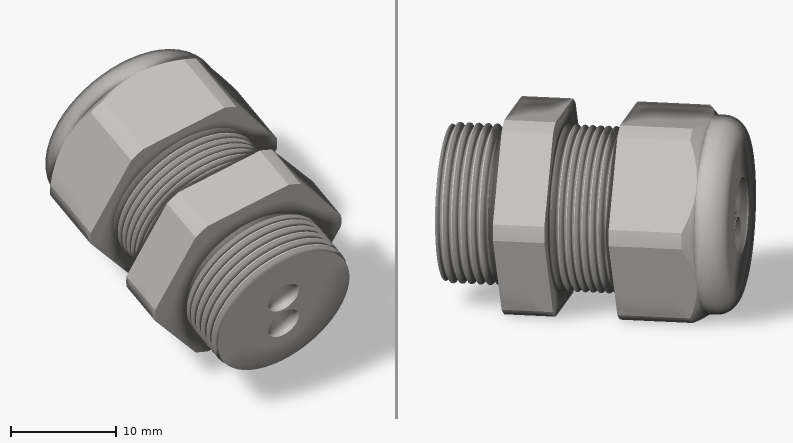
import cadquery as cq
import math


LENGTH = 28.2

ACROSS_FLATS = 19.05
CORNER_RADIUS = 10.57

CAP_END = 10.88
DOME_RADIUS = 9.5
DOME_ROUNDING = 2.0
DOME_END = 2.8
CONE_END = 3.85

COLLAR_START = 17.08
COLLAR_END = 22.05

THREAD_HALF_ANGLE = math.radians(30)
CAP_THREAD_RADIUS = 7.95
CAP_THREAD_DEPTH = 0.6
CAP_THREAD_PITCH = 0.75
CAP_THREAD_GROOVES = 8
END_THREAD_RADIUS = 7.67
END_THREAD_DEPTH = 0.68
END_THREAD_LAST_GROOVE = 27.9
END_THREAD_GROOVES = 6
END_THREAD_FIRST_GROOVE = 23.43
END_THREAD_PITCH = (END_THREAD_LAST_GROOVE - END_THREAD_FIRST_GROOVE) / (END_THREAD_GROOVES - 1)

NECK_RADIUS = 6.85
NECK_END = 22.33
RELIEF_END = 23.05
RELIEF_END_RADIUS = 7.5

INSERT_RADIUS = 4.0
RECESS_RADIUS = 3.7
RECESS_DEPTH = 0.4
PASSAGE_RADIUS = 1.75
PASSAGE_OFFSET = RECESS_RADIUS - PASSAGE_RADIUS


def cylinder(radius, start, end):
    """Round bar along X from start to end."""
    return cq.Workplane("YZ", origin=(start, 0, 0)).circle(radius).extrude(end - start)


def hexagon(start, end):
    """Hexagonal bar along X with flats facing up and down."""
    across_corners = ACROSS_FLATS / math.cos(math.pi / 6)
    return cq.Workplane("YZ", origin=(start, 0, 0)).polygon(6, across_corners).extrude(end - start)


def revolve_about_x(profile):
    """Close a half profile drawn in XY, with Y as the radius, and turn it about X."""
    return profile.close().revolve(360, (0, 0, 0), (1, 0, 0))


def make_cap():
    """Hexagon trimmed to a rounded dome, a cone and its corner cylinder."""
    rounding_diagonal = DOME_ROUNDING * math.sqrt(0.5)
    envelope = revolve_about_x(
        cq.Workplane("XY")
        .lineTo(0, DOME_RADIUS - DOME_ROUNDING)
        .threePointArc(
            (DOME_ROUNDING - rounding_diagonal, DOME_RADIUS - DOME_ROUNDING + rounding_diagonal),
            (DOME_ROUNDING, DOME_RADIUS),
        )
        .lineTo(DOME_END, DOME_RADIUS)
        .lineTo(CONE_END, CORNER_RADIUS)
        .lineTo(CAP_END, CORNER_RADIUS)
        .lineTo(CAP_END, 0)
    )
    return hexagon(0, CAP_END).intersect(envelope)


def make_collar():
    """Hexagon with its corners turned round."""
    return hexagon(COLLAR_START, COLLAR_END).intersect(cylinder(CORNER_RADIUS, COLLAR_START, COLLAR_END))


def add_grooves(profile, first_groove, pitch, count, crest_radius, depth):
    """Extend a half profile along a row of V grooves, from crest to crest."""
    half_width = depth * math.tan(THREAD_HALF_ANGLE)
    for index in range(count):
        bottom = first_groove + index * pitch
        profile = (
            profile.lineTo(bottom - half_width, crest_radius)
            .lineTo(bottom, crest_radius - depth)
            .lineTo(bottom + half_width, crest_radius)
        )
    return profile


def make_cap_thread():
    """Threaded length between the cap and the collar."""
    first_groove = CAP_END + CAP_THREAD_PITCH / 2
    profile = cq.Workplane("XY").moveTo(CAP_END, 0).lineTo(CAP_END, CAP_THREAD_RADIUS)
    profile = add_grooves(
        profile, first_groove, CAP_THREAD_PITCH, CAP_THREAD_GROOVES, CAP_THREAD_RADIUS, CAP_THREAD_DEPTH
    )
    return revolve_about_x(profile.lineTo(COLLAR_START, CAP_THREAD_RADIUS).lineTo(COLLAR_START, 0))


def make_end_thread():
    """Threaded length beyond the collar, turned down to a relief neck and cut off square."""
    profile = cq.Workplane("XY").moveTo(COLLAR_END, 0).lineTo(COLLAR_END, END_THREAD_RADIUS)
    profile = add_grooves(
        profile,
        END_THREAD_FIRST_GROOVE,
        END_THREAD_PITCH,
        END_THREAD_GROOVES,
        END_THREAD_RADIUS,
        END_THREAD_DEPTH,
    )
    last_crest = END_THREAD_LAST_GROOVE + END_THREAD_DEPTH * math.tan(THREAD_HALF_ANGLE)
    threaded_bar = revolve_about_x(profile.lineTo(last_crest, 0))
    envelope = revolve_about_x(
        cq.Workplane("XY")
        .moveTo(COLLAR_END, 0)
        .lineTo(COLLAR_END, NECK_RADIUS)
        .lineTo(NECK_END, NECK_RADIUS)
        .tangentArcPoint((RELIEF_END, RELIEF_END_RADIUS), relative=False)
        .lineTo(RELIEF_END, CORNER_RADIUS)
        .lineTo(LENGTH, CORNER_RADIUS)
        .lineTo(LENGTH, 0)
    )
    return threaded_bar.intersect(envelope)


def make_housing():
    """Cap, collar and threads in one piece, bored through for the insert."""
    solid = make_cap().union(make_cap_thread()).union(make_collar()).union(make_end_thread())
    return solid.cut(cylinder(INSERT_RADIUS, 0, LENGTH))


def make_insert():
    """Plug filling the bore, recessed at the cap face, with two passages side by side."""
    plug = cylinder(INSERT_RADIUS, 0, LENGTH).cut(cylinder(RECESS_RADIUS, 0, RECESS_DEPTH))
    for height in (-PASSAGE_OFFSET, PASSAGE_OFFSET):
        plug = plug.cut(cylinder(PASSAGE_RADIUS, 0, LENGTH).translate((0, 0, height)))
    return plug


housing = make_housing()
insert = make_insert()

result = cq.Compound.makeCompound([housing.val(), insert.val()])